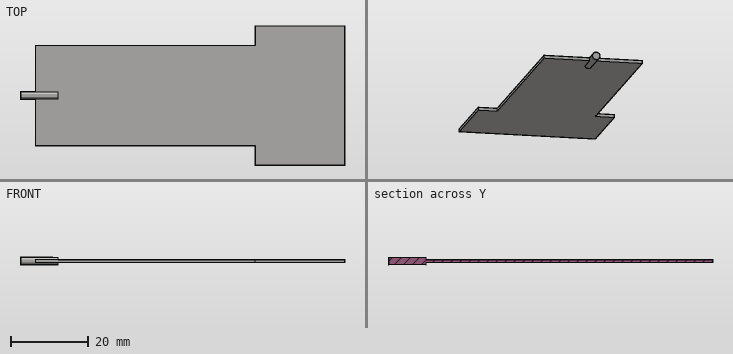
import cadquery as cq

plate_length = 80.0
plate_thickness = 0.8
body_width = 26.0
head_width = 36.0
head_length = 23.2

pin_diameter = 2.0
pin_length = 9.7
pin_overhang = 3.8

body_length = plate_length - head_length


def slab(start_x, length, width):
    """Rectangular piece of the plate, centred on Y = 0 and Z = 0."""
    return (
        cq.Workplane("XY")
        .box(length, width, plate_thickness, centered=(False, True, True))
        .translate((start_x, 0, 0))
    )


def make_plate():
    """T-shaped plate with its narrow end at X = 0."""
    body = slab(0, body_length, body_width)
    head = slab(body_length, head_length, head_width)
    return body.union(head).clean()


def make_pin():
    """Pin along X that sticks out past the narrow end of the plate."""
    return (
        cq.Workplane("YZ", origin=(-pin_overhang, 0, 0))
        .circle(pin_diameter / 2)
        .extrude(pin_length)
    )


result = make_plate().union(make_pin())